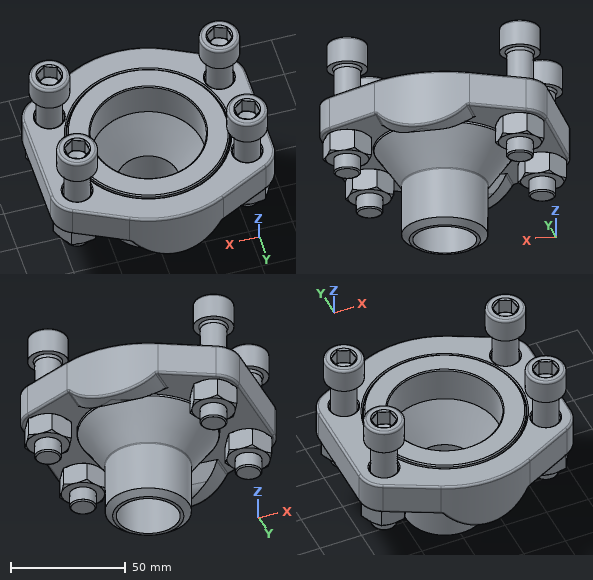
import cadquery as cq
import math

LENGTH = 102.0
WIDTH = 97.0
PLATE_THICKNESS = 16.0
EDGE_ROUND = 1.0
BOLT_X = 38.9
BOLT_Y = 21.4
BOLT_HOLE_DIAMETER = 13.0
BOLT_HOLE_CHAMFER = 0.5
SEAT_DIAMETER = 72.2
SEAT_DEPTH = 5.1
SEAT_CHAMFER = 0.6
NECK_HOLE_DIAMETER = 62.7

LOBE_RADIUS = 26.0
LOBE_INNER_ROUND = 11.7
LOBE_SLOPE_ANGLE = 47
LOBE_RIM_WIDTH = 3.3
LOBE_ROOT_FILLET = 1.0

COLLAR_DIAMETER = 71.4
COLLAR_TOP = 0.7
COLLAR_CHAMFER = 0.6
SLEEVE_DIAMETER = 62.0
CONE_TOP = -16.7
PIPE_DIAMETER = 37.9
PIPE_TOP = -33.6
PIPE_FILLET = 0.8
NECK_BOTTOM = -59.5
BEVEL_HEIGHT = 2.3
BEVEL_WIDTH = 3.4
BORE_DIAMETER = 51.0
BORE_CHAMFER = 0.5
THROAT_DIAMETER = 28.0

SHANK_DIAMETER = 11.7
BOLT_TIP = -33.0
TIP_CHAMFER = 0.6
HEAD_DIAMETER = 18.0
HEAD_HEIGHT = 12.0
HEAD_TOP = 29.2
HEAD_ROUND = 1.1
FLARE_HEIGHT = 1.3
FLARE_WIDTH = 0.6
SOCKET_FLATS = 9.8
SOCKET_DEPTH = 8.0
SOCKET_MOUTH_DIAMETER = 11.7
SOCKET_DRILL_DIAMETER = 10.3
SOCKET_TURN = 37
DRILL_POINT_ANGLE = 120

NUT_FLATS = 19.0
NUT_HEIGHT = 10.0
NUT_CHAMFER_ANGLE = 30

BOLT_PLACES = [(x, y) for x in (-BOLT_X, BOLT_X) for y in (-BOLT_Y, BOLT_Y)]


def cylinder(diameter, bottom, top):
    """Solid cylinder on the Z axis between two heights."""
    return cq.Workplane("XY").workplane(offset=bottom).circle(diameter / 2).extrude(top - bottom)


def revolved(profile):
    """Turn a list of (radius, height) points about the Z axis."""
    return cq.Workplane("XZ").polyline(profile).close().revolve(360, (0, 0, 0), (0, 1, 0))


def hexagon(flats, bottom, top):
    """Hexagonal prism with its corners on the X axis, sized across its flats."""
    corners = flats / math.cos(math.pi / 6)
    return cq.Workplane("XY").workplane(offset=bottom).polygon(6, corners).extrude(top - bottom)


def chamfered_hole(diameter, bottom, chamfer):
    """Cutter for a hole that opens with a 45 degree chamfer at the plate's top face."""
    radius = diameter / 2
    return revolved([
        (0, 0),
        (radius + chamfer, 0),
        (radius, -chamfer),
        (radius, bottom),
        (0, bottom),
    ])


def flange_outline():
    """Two end arcs and four corner arcs about the bolts, joined by tangent lines."""
    end_radius = WIDTH / 2
    corner_radius = LENGTH / 2 - BOLT_X
    bolt_distance = math.hypot(BOLT_X, BOLT_Y)
    normal = math.atan2(BOLT_Y, BOLT_X) + math.acos((end_radius - corner_radius) / bolt_distance)
    end_x = end_radius * math.cos(normal)
    end_y = end_radius * math.sin(normal)
    corner_x = BOLT_X + corner_radius * math.cos(normal)
    corner_y = BOLT_Y + corner_radius * math.sin(normal)
    middle_x = BOLT_X + corner_radius * math.cos(normal / 2)
    middle_y = BOLT_Y + corner_radius * math.sin(normal / 2)
    return (
        cq.Workplane("XY")
        .moveTo(LENGTH / 2, -BOLT_Y)
        .lineTo(LENGTH / 2, BOLT_Y)
        .threePointArc((middle_x, middle_y), (corner_x, corner_y))
        .lineTo(end_x, end_y)
        .threePointArc((0, end_radius), (-end_x, end_y))
        .lineTo(-corner_x, corner_y)
        .threePointArc((-middle_x, middle_y), (-LENGTH / 2, BOLT_Y))
        .lineTo(-LENGTH / 2, -BOLT_Y)
        .threePointArc((-middle_x, -middle_y), (-corner_x, -corner_y))
        .lineTo(-end_x, -end_y)
        .threePointArc((0, -end_radius), (end_x, -end_y))
        .lineTo(corner_x, -corner_y)
        .threePointArc((middle_x, -middle_y), (LENGTH / 2, -BOLT_Y))
        .close()
    )


def lobes():
    """Round lobes about a Y axis in the plate's top face, sloping up towards the neck."""
    end_y = WIDTH / 2
    overlap_z = -PLATE_THICKNESS / 2
    slope = math.radians(LOBE_SLOPE_ANGLE)
    round_y = end_y - LOBE_RIM_WIDTH
    round_z = LOBE_INNER_ROUND - LOBE_RADIUS
    slope_y = round_y - LOBE_INNER_ROUND * math.sin(slope)
    slope_z = round_z - LOBE_INNER_ROUND * math.cos(slope)
    middle_y = round_y - LOBE_INNER_ROUND * math.sin(slope / 2)
    middle_z = round_z - LOBE_INNER_ROUND * math.cos(slope / 2)
    inner_y = slope_y - (overlap_z - slope_z) / math.tan(slope)
    side = (
        cq.Workplane("YZ")
        .moveTo(end_y, overlap_z)
        .lineTo(end_y, -LOBE_RADIUS)
        .lineTo(round_y, -LOBE_RADIUS)
        .threePointArc((middle_y, middle_z), (slope_y, slope_z))
        .lineTo(inner_y, overlap_z)
        .close()
        .extrude(LOBE_RADIUS, both=True)
    )
    barrel = cq.Workplane("XZ").circle(LOBE_RADIUS).extrude(WIDTH, both=True)
    lobe = side.intersect(barrel).intersect(flange_outline().extrude(-LOBE_RADIUS))
    return lobe.union(lobe.mirror("XZ"))


def make_flange():
    """Loose flange with two lobes, a stepped centre hole and four bolt holes."""
    body = flange_outline().extrude(-PLATE_THICKNESS).union(lobes())
    body = body.faces(">Z").edges().fillet(EDGE_ROUND)

    between_bolts = cq.selectors.BoxSelector((-BOLT_X, -WIDTH, -LOBE_RADIUS), (BOLT_X, WIDTH, 0))
    body = body.edges("|Y").edges(between_bolts).fillet(LOBE_ROOT_FILLET)

    lower_side = cq.selectors.NearestToPointSelector((LENGTH / 2, 0, -PLATE_THICKNESS))
    body = body.edges(lower_side).fillet(EDGE_ROUND)

    body = body.cut(cylinder(NECK_HOLE_DIAMETER, -LOBE_RADIUS, 0))
    body = body.cut(chamfered_hole(SEAT_DIAMETER, -SEAT_DEPTH, SEAT_CHAMFER))

    for x, y in BOLT_PLACES:
        hole = chamfered_hole(BOLT_HOLE_DIAMETER, -PLATE_THICKNESS, BOLT_HOLE_CHAMFER)
        body = body.cut(hole.translate((x, y, 0)))
    return body


def make_neck():
    """Collar and sleeve that sit in the flange, tapering down to a bevelled pipe end."""
    collar_radius = COLLAR_DIAMETER / 2
    sleeve_radius = SLEEVE_DIAMETER / 2
    pipe_radius = PIPE_DIAMETER / 2
    bore_radius = BORE_DIAMETER / 2
    throat_radius = THROAT_DIAMETER / 2
    body = revolved([
        (0, COLLAR_TOP),
        (collar_radius - COLLAR_CHAMFER, COLLAR_TOP),
        (collar_radius, COLLAR_TOP - COLLAR_CHAMFER),
        (collar_radius, -SEAT_DEPTH),
        (sleeve_radius, -SEAT_DEPTH),
        (sleeve_radius, CONE_TOP),
        (pipe_radius, PIPE_TOP),
        (pipe_radius, NECK_BOTTOM + BEVEL_HEIGHT),
        (pipe_radius - BEVEL_WIDTH, NECK_BOTTOM),
        (0, NECK_BOTTOM),
    ])
    pipe_shoulder = cq.selectors.NearestToPointSelector((0, 0, PIPE_TOP))
    body = body.edges(pipe_shoulder).fillet(PIPE_FILLET)
    bore = revolved([
        (0, COLLAR_TOP),
        (bore_radius + BORE_CHAMFER, COLLAR_TOP),
        (bore_radius, COLLAR_TOP - BORE_CHAMFER),
        (bore_radius, CONE_TOP),
        (throat_radius, PIPE_TOP),
        (throat_radius, NECK_BOTTOM),
        (0, NECK_BOTTOM),
    ])
    return body.cut(bore)


def socket_cutter():
    """Hexagon socket with a countersunk mouth and a conical drill point at its bottom."""
    bottom = HEAD_TOP - SOCKET_DEPTH
    drill_radius = SOCKET_DRILL_DIAMETER / 2
    mouth_radius = SOCKET_MOUTH_DIAMETER / 2
    mouth_bottom = HEAD_TOP - (mouth_radius - drill_radius)
    point_depth = drill_radius / math.tan(math.radians(DRILL_POINT_ANGLE / 2))
    sides = hexagon(SOCKET_FLATS, bottom, HEAD_TOP).rotate((0, 0, 0), (0, 0, 1), SOCKET_TURN)
    mouth = revolved([
        (0, HEAD_TOP),
        (mouth_radius, HEAD_TOP),
        (drill_radius, mouth_bottom),
        (0, mouth_bottom),
    ])
    drill_point = revolved([(0, bottom), (drill_radius, bottom), (0, bottom - point_depth)])
    return sides.union(mouth).union(drill_point)


def make_bolt():
    """Socket head bolt whose shank flares out under the head."""
    head_bottom = HEAD_TOP - HEAD_HEIGHT
    shank_radius = SHANK_DIAMETER / 2
    head = cylinder(HEAD_DIAMETER, head_bottom, HEAD_TOP).faces(">Z").edges().fillet(HEAD_ROUND)
    shank = cylinder(SHANK_DIAMETER, BOLT_TIP, head_bottom).faces("<Z").chamfer(TIP_CHAMFER)
    flare = revolved([
        (0, head_bottom),
        (shank_radius + FLARE_WIDTH, head_bottom),
        (shank_radius, head_bottom - FLARE_HEIGHT),
        (0, head_bottom - FLARE_HEIGHT),
    ])
    return head.union(shank).union(flare).cut(socket_cutter())


def make_nut():
    """Hexagon nut against the plate, its corners chamfered on both faces."""
    top = -PLATE_THICKNESS
    bottom = top - NUT_HEIGHT
    flat_radius = NUT_FLATS / 2
    cone_rise = NUT_HEIGHT / 2
    cone_reach = cone_rise / math.tan(math.radians(NUT_CHAMFER_ANGLE))
    double_cone = revolved([
        (0, bottom),
        (flat_radius, bottom),
        (flat_radius + cone_reach, bottom + cone_rise),
        (flat_radius, top),
        (0, top),
    ])
    nut = hexagon(NUT_FLATS, bottom, top).intersect(double_cone)
    return nut.cut(cylinder(SHANK_DIAMETER, bottom, top))


flange = make_flange()
neck = make_neck()
bolts = [make_bolt().translate((x, y, 0)).val() for x, y in BOLT_PLACES]
nuts = [make_nut().translate((x, y, 0)).val() for x, y in BOLT_PLACES]

result = cq.Compound.makeCompound([flange.val(), neck.val(), *bolts, *nuts])